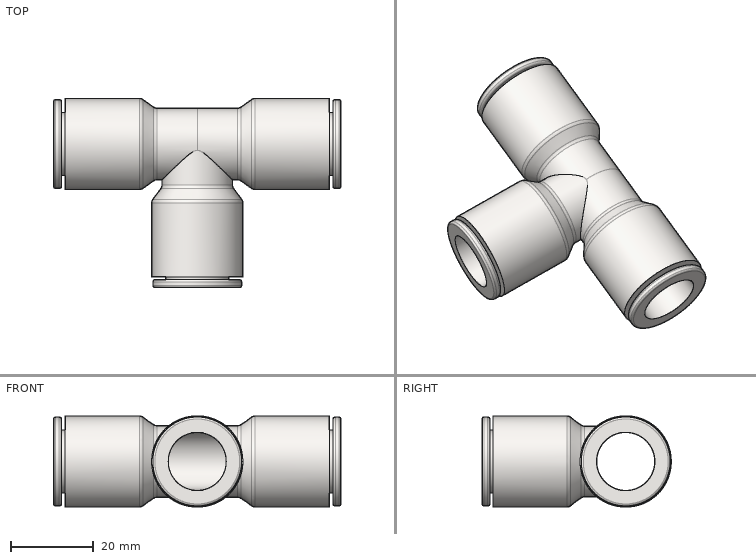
import cadquery as cq

RUN_REACH = 34.75
BRANCH_REACH = 34.75
RUN_CORE_RADIUS = 8.7
BRANCH_CORE_RADIUS = 8.55
RUN_GROOVE_WIDTH = 0.8
BRANCH_GROOVE_WIDTH = 0.6

BODY_RADIUS = 11.05
BODY_LENGTH = 18.4
CONE_LENGTH = 3.35
CONE_BLEND = 1.45
BORE_RADIUS = 7.0

COLLAR_RADIUS = 10.8
COLLAR_LENGTH = 1.95
COLLAR_OUTER_ROUND = 0.5
COLLAR_INNER_ROUND = 0.6
NECK_RADIUS = 7.65


def circle_edge(x, radius):
    """Selector for the circular edge around the X axis at a position and radius."""
    margin = 0.035
    reach = radius + margin
    return cq.selectors.BoxSelector(
        (x - margin, -reach, -reach), (x + margin, reach, reach), boundingbox=True
    )


def arm(reach, core_radius, groove_width):
    """Solid arm from the origin to an open end on +X."""
    collar_start = reach - COLLAR_LENGTH
    body_end = collar_start - groove_width
    cone_end = body_end - BODY_LENGTH
    cone_start = cone_end - CONE_LENGTH

    body = (
        cq.Workplane("XY")
        .moveTo(0, 0)
        .lineTo(0, core_radius)
        .lineTo(cone_start, core_radius)
        .lineTo(cone_end, BODY_RADIUS)
        .lineTo(body_end, BODY_RADIUS)
        .lineTo(body_end, 0)
        .close()
        .revolve(360, (0, 0, 0), (1, 0, 0))
    )
    body = body.edges(circle_edge(cone_start, core_radius)).fillet(CONE_BLEND)
    body = body.edges(circle_edge(cone_end, BODY_RADIUS)).fillet(CONE_BLEND)

    collar = cq.Workplane("YZ", origin=(collar_start, 0, 0)).circle(COLLAR_RADIUS).extrude(COLLAR_LENGTH)
    collar = collar.faces(">X").edges().fillet(COLLAR_OUTER_ROUND)
    collar = collar.faces("<X").edges().fillet(COLLAR_INNER_ROUND)

    neck = cq.Workplane("YZ").circle(NECK_RADIUS).extrude(collar_start)
    return body.union(neck).union(collar)


run_arm = arm(RUN_REACH, RUN_CORE_RADIUS, RUN_GROOVE_WIDTH)
branch_arm = arm(BRANCH_REACH, BRANCH_CORE_RADIUS, BRANCH_GROOVE_WIDTH).rotate(
    (0, 0, 0), (0, 0, 1), -90
)
outer = run_arm.union(run_arm.mirror("YZ")).union(branch_arm)

run_bore = cq.Workplane("YZ").circle(BORE_RADIUS).extrude(RUN_REACH, both=True)
branch_bore = cq.Workplane("XZ").circle(BORE_RADIUS).extrude(BRANCH_REACH)

result = outer.cut(run_bore).cut(branch_bore).clean()